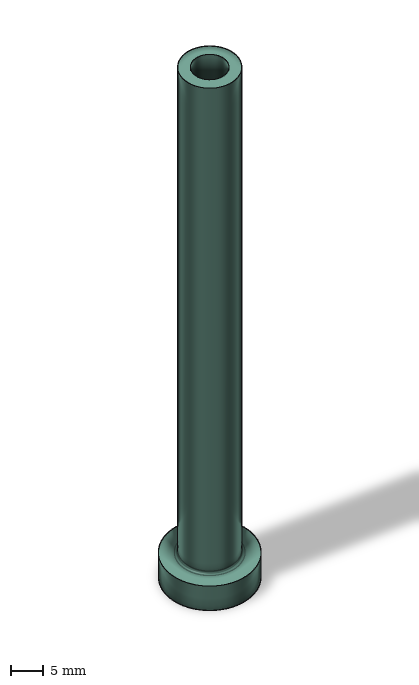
import cadquery as cq

total_length = 105.0
head_diameter = 16.0
head_height = 5.0
shaft_diameter = 10.0
bore_diameter = 6.0
neck_fillet = 0.5

head_radius = head_diameter / 2
shaft_radius = shaft_diameter / 2
bore_radius = bore_diameter / 2


def sleeve_profile():
    """Half section of the sleeve: radius along X, axis along Z."""
    return (
        cq.Workplane("XZ")
        .moveTo(bore_radius, 0)
        .lineTo(head_radius, 0)
        .lineTo(head_radius, head_height)
        .lineTo(shaft_radius + neck_fillet, head_height)
        .radiusArc((shaft_radius, head_height + neck_fillet), neck_fillet)
        .lineTo(shaft_radius, total_length)
        .lineTo(bore_radius, total_length)
        .close()
    )


result = sleeve_profile().revolve(360, (0, 0, 0), (0, 1, 0))